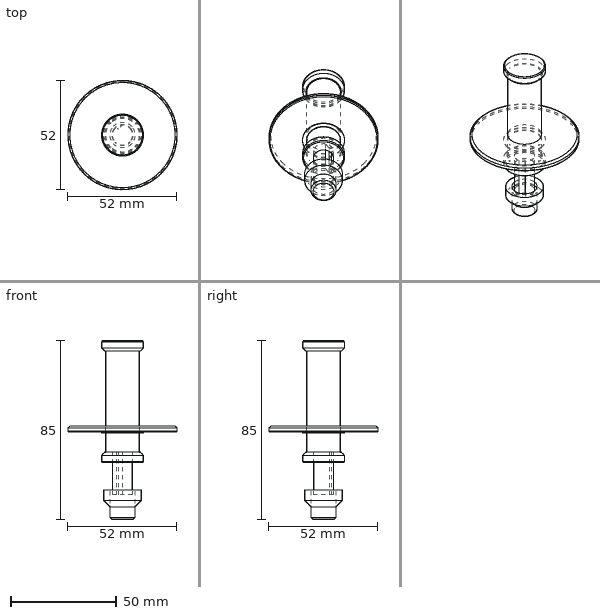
import cadquery as cq
import math

total_height = 85.0

cap_diameter = 20.0
cap_height = 5.0
cap_outer_chamfer = 0.5
cap_barrel_chamfer = 1.5
lower_cap_bottom = 27.0
upper_cap_bottom = total_height - cap_height

barrel_diameter = 16.0
barrel_bottom = lower_cap_bottom + cap_height
barrel_length = upper_cap_bottom - barrel_bottom

disc_diameter = 52.0
disc_thickness = 3.0
disc_bottom = 41.5
disc_top_chamfer = 1.0
disc_bottom_chamfer = 0.5
washer_thickness = 0.3

foot_diameter = 12.0
foot_chamfer = 1.0
cup_diameter = 18.0
cup_top = 14.0
cup_rim_height = 5.0
cup_recess_depth = 2.0
cup_taper = (cup_diameter - foot_diameter) / 2
foot_height = cup_top - cup_recess_depth

rod_diameter = 9.5
rod_length = barrel_bottom - foot_height
groove_edge_y = 3.7
groove_wall_angle = 45.0


def cylinder(diameter, bottom, height):
    """Upright cylinder on the common axis."""
    return cq.Workplane("XY").workplane(offset=bottom).circle(diameter / 2).extrude(height)


def ring(outer_diameter, inner_diameter, bottom, height):
    """Upright cylinder with a round hole through it."""
    return (
        cq.Workplane("XY")
        .workplane(offset=bottom)
        .circle(outer_diameter / 2)
        .circle(inner_diameter / 2)
        .extrude(height)
    )


def make_cap(bottom, top_chamfer, bottom_chamfer):
    """Round end cap with a chamfer on each rim."""
    cap = cylinder(cap_diameter, bottom, cap_height)
    return cap.faces(">Z").chamfer(top_chamfer).faces("<Z").chamfer(bottom_chamfer)


def make_lower_cap():
    """Lower cap, with a hole that the rod passes through."""
    cap = make_cap(lower_cap_bottom, cap_barrel_chamfer, cap_outer_chamfer)
    return cap.cut(cylinder(rod_diameter, lower_cap_bottom, cap_height))


def make_disc():
    """Chamfered disc with a hole for the barrel."""
    disc = cylinder(disc_diameter, disc_bottom, disc_thickness)
    disc = disc.faces(">Z").chamfer(disc_top_chamfer).faces("<Z").chamfer(disc_bottom_chamfer)
    return disc.cut(cylinder(barrel_diameter, disc_bottom, disc_thickness))


def make_rod():
    """Round rod with a 90 degree V-groove along its +Y side."""
    radius = rod_diameter / 2
    groove_edge_x = -math.sqrt(radius**2 - groove_edge_y**2)
    apex_x = (groove_edge_x + groove_edge_y - radius) / 2
    apex_y = radius + apex_x
    groove = (
        cq.Workplane("XY")
        .workplane(offset=foot_height)
        .rect(rod_diameter, rod_diameter, centered=False)
        .extrude(rod_length)
        .rotate((0, 0, 0), (0, 0, 1), groove_wall_angle)
        .translate((apex_x, apex_y, 0))
    )
    return cylinder(rod_diameter, foot_height, rod_length).cut(groove)


def make_foot():
    """Round foot with a chamfered bottom rim."""
    return cylinder(foot_diameter, 0, foot_height).faces("<Z").chamfer(foot_chamfer)


def make_cup():
    """Ring around the foot: a straight rim over a cone that tapers to the foot."""
    foot_radius = foot_diameter / 2
    cup_radius = cup_diameter / 2
    rim_bottom = cup_top - cup_rim_height
    section = [
        (foot_radius, cup_top),
        (cup_radius, cup_top),
        (cup_radius, rim_bottom),
        (foot_radius, rim_bottom - cup_taper),
    ]
    return cq.Workplane("XZ").polyline(section).close().revolve(360, (0, 0, 0), (0, 1, 0))


upper_cap = make_cap(upper_cap_bottom, cap_outer_chamfer, cap_barrel_chamfer)
lower_cap = make_lower_cap()
barrel = cylinder(barrel_diameter, barrel_bottom, barrel_length)
disc = make_disc()
washer = ring(cap_diameter, barrel_diameter, disc_bottom - washer_thickness, washer_thickness)
rod = make_rod()
foot = make_foot()
cup = make_cup()

result = cq.Compound.makeCompound(
    [
        upper_cap.val(),
        lower_cap.val(),
        barrel.val(),
        disc.val(),
        washer.val(),
        rod.val(),
        foot.val(),
        cup.val(),
    ]
)